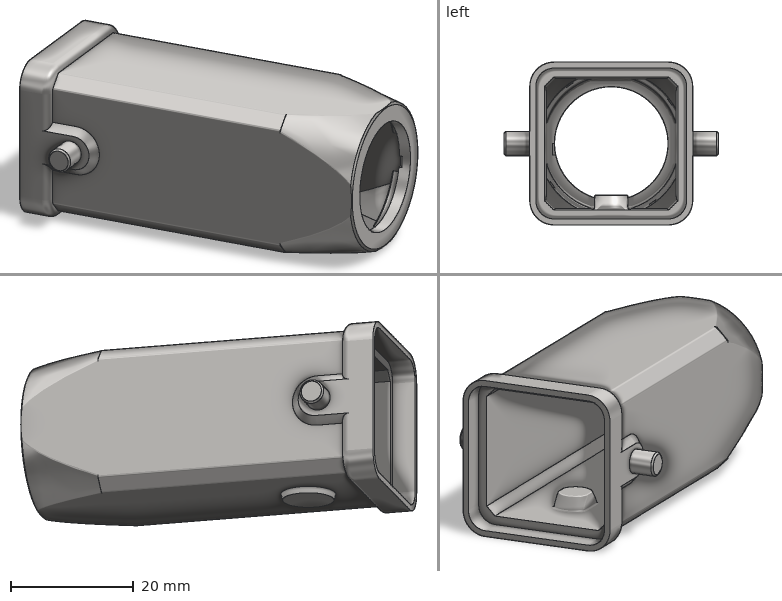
import cadquery as cq


SELECT_MARGIN = 0.5

LENGTH = 60.0
BODY_WIDTH = 24.2
BODY_CHAMFER = 2.05
BODY_EDGE_RADIUS = 0.5

NOSE_START = 46.9
NOSE_START_RADIUS = 15.6
NOSE_END_RADIUS = 12.35
NOSE_EDGE_CHAMFER = 0.25
NOSE_EDGE_RADIUS = 0.4

FLANGE_WIDTH = 26.6
FLANGE_LENGTH = 5.45
FLANGE_CORNER_RADIUS = 4.0
FLANGE_FILLET = 1.3

POCKET_WIDTH = 24.6
POCKET_DEPTH = 3.8
POCKET_CORNER_RADIUS = 3.0

CAVITY_MOUTH_WIDTH = 21.7
CAVITY_DEEP_WIDTH = 21.1
CAVITY_CHAMFER = 1.5

RING_RADIUS = 11.9
RING_FILLET = 0.25
CORNER_CONE_START = 44.0

SEAT_FLOOR_DIAMETER = 21.25
SEAT_FILLET = 0.45
CABLE_HOLE_DIAMETER = 18.5
SEAT_START = 56.0
SEAT_END = 58.0

NOTCH_WIDTH = 1.85
NOTCH_OUTER_Y = 9.55
NOTCH_INNER_Y = 8.5
NOTCH_DEPTH = 0.5

PIN_X = 9.25
PIN_DIAMETER = 4.0
PIN_SPAN = 35.0
PIN_CHAMFER = 0.3
LUG_END_X = 9.75
LUG_TOP_RADIUS = 2.9
LUG_SLOPE = 1.3

BOSS_X = 14.65
PAD_BASE_RADIUS = 4.5
PAD_TOP_RADIUS = 4.2
PAD_Z = -13.1
CONE_BASE_RADIUS = 3.85
CONE_TOP_RADIUS = 2.75
CONE_TOP_Z = -8.4
CONE_FLAT_WIDTH = 5.4
CONE_CORNER_RADIUS = 0.5
CONE_TOP_FILLET = 0.25
CONE_BASE_FILLET = 0.4

HALF_BODY = BODY_WIDTH / 2
HALF_FLANGE = FLANGE_WIDTH / 2
HALF_CAVITY = CAVITY_MOUTH_WIDTH / 2
NOSE_SLOPE = (NOSE_START_RADIUS - NOSE_END_RADIUS) / (LENGTH - NOSE_START)


def yz_plane(x):
    return cq.Workplane("YZ", origin=(x, 0, 0))


def prism(x_start, x_end, width):
    return yz_plane(x_start).rect(width, width).extrude(x_end - x_start)


def revolved(profile):
    """Turn an (x, radius) outline about the X axis."""
    return cq.Workplane("XY").polyline(profile).close().revolve(360, (0, 0, 0), (1, 0, 0))


def cone(x, z_start, radius_start, z_end, radius_end):
    """Vertical truncated cone centred at (x, 0)."""
    return (
        cq.Workplane("XY", origin=(x, 0, z_start))
        .circle(radius_start)
        .workplane(offset=z_end - z_start)
        .circle(radius_end)
        .loft()
    )


def edges_within(x_range, y_range, z_range):
    """Select edges whose centres lie in the given box."""
    return cq.selectors.BoxSelector(*zip(x_range, y_range, z_range))


def make_body():
    block = prism(0, LENGTH, BODY_WIDTH).edges("|X").chamfer(BODY_CHAMFER)
    rounded_block = block.edges("|X").fillet(BODY_EDGE_RADIUS)
    edge_x = LENGTH - NOSE_EDGE_CHAMFER
    edge_radius = HALF_BODY - NOSE_EDGE_CHAMFER / 2
    nose = revolved([
        (0, 0),
        (0, BODY_WIDTH),
        (NOSE_START, BODY_WIDTH),
        (NOSE_START, NOSE_START_RADIUS),
        (edge_x, NOSE_END_RADIUS + NOSE_SLOPE * NOSE_EDGE_CHAMFER),
        (LENGTH, edge_radius),
        (LENGTH, 0),
    ])
    trimmed = block.intersect(nose)
    curved_edges = edges_within(
        (NOSE_START + SELECT_MARGIN, LENGTH - SELECT_MARGIN),
        (-BODY_WIDTH, BODY_WIDTH),
        (-BODY_WIDTH, BODY_WIDTH),
    )
    return trimmed.edges(curved_edges).fillet(NOSE_EDGE_RADIUS).intersect(rounded_block)


def make_flange():
    flange = prism(0, FLANGE_LENGTH, FLANGE_WIDTH).edges("|X").fillet(FLANGE_CORNER_RADIUS)
    return flange.faces(">X").edges().fillet(FLANGE_FILLET)


def lug_outline(y, radius):
    """Tongue outline in the plane at y, starting inside the flange and ending in a half circle."""
    plane = cq.Plane(origin=(0, y, 0), xDir=(1, 0, 0), normal=(0, -1, 0))
    start_x = POCKET_DEPTH
    return (
        cq.Workplane(plane)
        .moveTo(start_x, -radius)
        .lineTo(LUG_END_X, -radius)
        .threePointArc((LUG_END_X + radius, 0), (LUG_END_X, radius))
        .lineTo(start_x, radius)
        .close()
    )


def make_lug():
    base_y = -HALF_BODY
    top = lug_outline(-HALF_FLANGE, LUG_TOP_RADIUS).wires().val()
    base = lug_outline(base_y, LUG_TOP_RADIUS + LUG_SLOPE).wires().val()
    return cq.Workplane(cq.Solid.makeLoft([base, top], True))


def make_pin():
    pin = (
        cq.Workplane("XZ", origin=(PIN_X, -HALF_BODY, 0))
        .circle(PIN_DIAMETER / 2)
        .extrude(PIN_SPAN / 2 - HALF_BODY)
    )
    return pin.faces("<Y").chamfer(PIN_CHAMFER)


def cavity_outline(x, width):
    square = prism(x, LENGTH, width).edges("|X").chamfer(CAVITY_CHAMFER)
    return square.faces("<X").wires().val()


def make_cavity():
    tapered = cq.Solid.makeLoft(
        [
            cavity_outline(POCKET_DEPTH, CAVITY_MOUTH_WIDTH),
            cavity_outline(SEAT_END, CAVITY_DEEP_WIDTH),
        ],
        True,
    )
    seat_radius = SEAT_FLOOR_DIAMETER / 2 + SEAT_FILLET
    limit = revolved([
        (0, 0),
        (0, BODY_WIDTH),
        (CORNER_CONE_START, BODY_WIDTH),
        (CORNER_CONE_START, RING_RADIUS + NOSE_SLOPE * (SEAT_START - CORNER_CONE_START)),
        (SEAT_START, RING_RADIUS),
        (SEAT_START, seat_radius),
        (SEAT_END, seat_radius),
        (SEAT_END, 0),
    ])
    cavity = cq.Workplane(tapered).intersect(limit)
    cavity = cavity.faces(">X").edges().fillet(SEAT_FILLET)
    rim = edges_within(
        (SEAT_START - SELECT_MARGIN, SEAT_START + SELECT_MARGIN),
        (-HALF_CAVITY, HALF_CAVITY),
        (-HALF_CAVITY, HALF_CAVITY),
    )
    return cavity.edges(rim).edges("%CIRCLE").fillet(RING_FILLET)


def make_pocket():
    return prism(0, POCKET_DEPTH, POCKET_WIDTH).edges("|X").fillet(POCKET_CORNER_RADIUS)


def make_cable_hole():
    return yz_plane(SEAT_END).circle(CABLE_HOLE_DIAMETER / 2).extrude(LENGTH - SEAT_END)


def make_notch():
    corner = (SEAT_END, NOTCH_INNER_Y, -NOTCH_WIDTH)
    size = (NOTCH_DEPTH, NOTCH_OUTER_Y - NOTCH_INNER_Y, NOTCH_WIDTH)
    return cq.Workplane("XY").box(*size, centered=False).translate(corner)


def make_pad():
    return cone(BOSS_X, -HALF_BODY, PAD_BASE_RADIUS, PAD_Z, PAD_TOP_RADIUS)


def make_inner_boss():
    round_boss = cone(BOSS_X, -HALF_CAVITY, CONE_BASE_RADIUS, CONE_TOP_Z, CONE_TOP_RADIUS)
    slab = cq.Workplane("XY", origin=(BOSS_X, 0, 0)).box(BODY_WIDTH, CONE_FLAT_WIDTH, BODY_WIDTH)
    boss = round_boss.intersect(slab)
    corners = boss.faces("|Y").edges("not #Z")
    return corners.fillet(CONE_CORNER_RADIUS).faces(">Z").edges().fillet(CONE_TOP_FILLET)


def fillet_boss_foot(part):
    foot = edges_within(
        (BOSS_X - CONE_BASE_RADIUS - SELECT_MARGIN, BOSS_X + CONE_BASE_RADIUS + SELECT_MARGIN),
        (-CONE_BASE_RADIUS, CONE_BASE_RADIUS),
        (-HALF_CAVITY - SELECT_MARGIN, -HALF_CAVITY + SELECT_MARGIN),
    )
    return part.edges(foot).fillet(CONE_BASE_FILLET)


result = make_body().union(make_flange())
for attachment in (make_lug(), make_pin()):
    result = result.union(attachment).union(attachment.mirror("XZ"))
for hollow in (make_pocket(), make_cavity(), make_cable_hole(), make_notch()):
    result = result.cut(hollow)
result = fillet_boss_foot(result.union(make_pad()).union(make_inner_boss()))